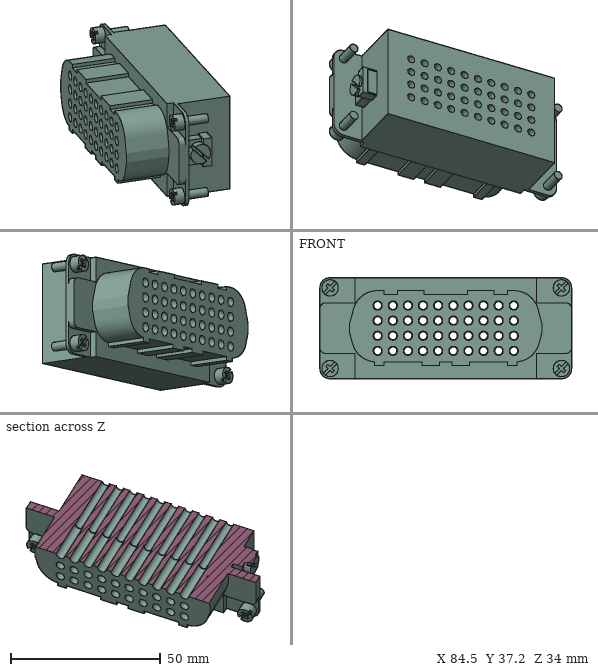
import cadquery as cq


flange_length = 84.5
height = 34.0
flange_back = 3.5
flange_corner_radius = 3.5
housing_length = 63.4
housing_back = 22.0

recess_depth = 2.3
recess_inner_x = 30.4
center_strip_height = 17.0
strip_corner_radius = 2.0

plug_depth = 15.2
plug_half_length = 32.2
end_flat_half_height = 1.7
end_slope = 0.27
plug_top = 12.6
plug_bottom = -11.3
plug_corner_radius = 8.3
key_height = 1.3
key_edge_x = 20.7
outer_groove_inner_x = 16.1
center_groove_half_width = 7.3
outer_rib_outer_x = 23.8
inner_rib_inner_x = 2.1
inner_rib_outer_x = 8.0

contact_pitch = 5.1
contact_columns = 10
contact_rows = 4
contact_mouth_diameter = 3.0
contact_bore_diameter = 2.6

screw_x = flange_length / 2 - flange_corner_radius
screw_z = height / 2 - flange_corner_radius
screw_head_diameter = 5.5
screw_head_front = 1.3
shank_diameter = 3.0
shank_end = 11.15
slot_angle = 45.0
slot_width = 0.9
slot_depth = 1.0
cross_arm_length = 3.0

terminal_y = 9.5
terminal_block_size = 9.1
terminal_block_thickness = 3.3
clamp_bar_width = 3.1
clamp_bar_back = 13.8
clamp_bar_thickness = 5.1
clamp_bar_overhang = 0.5
terminal_screw_diameter = 7.0
terminal_screw_reach = 5.8
terminal_slot_depth = 1.7
terminal_slot_width = 1.0


def box_between(x0, x1, y0, y1, z0, z1):
    """Box given by its limits along each axis."""
    return cq.Workplane("XY").box(x1 - x0, y1 - y0, z1 - z0, centered=False).translate((x0, y0, z0))


def cylinder_along_y(diameter, y0, y1, points):
    """Round bars along Y, one at each (x, z) point."""
    bars = cq.Workplane("XZ", origin=(0, y0, 0)).pushPoints(points)
    return bars.circle(diameter / 2).extrude(-(y1 - y0))


def make_flange():
    half_z = height / 2
    back_plate = (
        box_between(-flange_length / 2, flange_length / 2, recess_depth, flange_back, -half_z, half_z)
        .edges("|Y")
        .fillet(flange_corner_radius)
    )
    half_strip = center_strip_height / 2
    center_strip = (
        box_between(-flange_length / 2, flange_length / 2, 0, recess_depth, -half_strip, half_strip)
        .edges("|Y")
        .fillet(strip_corner_radius)
    )
    middle = box_between(-recess_inner_x, recess_inner_x, 0, recess_depth, -half_z, half_z)
    return back_plate.union(center_strip).union(middle)


def make_housing():
    half_x = housing_length / 2
    return box_between(-half_x, half_x, recess_depth, housing_back, -height / 2, height / 2)


def make_plug():
    top_x = plug_half_length - end_slope * (plug_top - end_flat_half_height)
    bottom_x = plug_half_length - end_slope * (-plug_bottom - end_flat_half_height)
    right_side = [
        (bottom_x, plug_bottom),
        (plug_half_length, -end_flat_half_height),
        (plug_half_length, end_flat_half_height),
        (top_x, plug_top),
    ]
    left_side = [(-x, z) for x, z in reversed(right_side)]
    plug = cq.Workplane("XZ").polyline(right_side + left_side).close().extrude(plug_depth)
    for side in (">Z", "<Z"):
        plug = plug.faces(side).edges("|Y").fillet(plug_corner_radius)

    groove_floor = plug_top - key_height
    grooves = [
        (-key_edge_x, -outer_groove_inner_x),
        (-center_groove_half_width, center_groove_half_width),
        (outer_groove_inner_x, key_edge_x),
    ]
    for x0, x1 in grooves:
        plug = plug.cut(box_between(x0, x1, -plug_depth, 0, groove_floor, plug_top))

    ribs = [(inner_rib_inner_x, inner_rib_outer_x), (key_edge_x, outer_rib_outer_x)]
    for x0, x1 in ribs:
        rib = box_between(x0, x1, -plug_depth, 0, plug_bottom - key_height, plug_bottom + key_height)
        plug = plug.union(rib).union(rib.mirror("YZ"))
    return plug


def cut_contact_holes(body):
    first_x = -contact_pitch * (contact_columns - 1) / 2
    first_z = -contact_pitch * (contact_rows - 1) / 2
    points = [
        (first_x + contact_pitch * column, first_z + contact_pitch * row)
        for column in range(contact_columns)
        for row in range(contact_rows)
    ]
    mouths = cylinder_along_y(contact_mouth_diameter, -plug_depth, 0, points)
    bores = cylinder_along_y(contact_bore_diameter, -plug_depth, housing_back, points)
    return body.cut(mouths).cut(bores)


def make_screw():
    """Screw on the Y axis: head in front, one diagonal slot with a shorter cross arm."""
    center = [(0, 0)]
    head = cylinder_along_y(screw_head_diameter, -screw_head_front, recess_depth, center)
    shank = cylinder_along_y(shank_diameter, recess_depth, shank_end, center)
    screw = head.union(shank)
    for length, angle in [(2 * screw_head_diameter, -slot_angle), (cross_arm_length, slot_angle)]:
        slot = box_between(
            -length / 2, length / 2,
            -screw_head_front, slot_depth - screw_head_front,
            -slot_width / 2, slot_width / 2,
        )
        screw = screw.cut(slot.rotate((0, 0, 0), (0, 1, 0), angle))
    return screw


def make_earth_terminal():
    face_x = housing_length / 2
    half_block = terminal_block_size / 2
    block = box_between(
        face_x, face_x + terminal_block_thickness,
        terminal_y - half_block, terminal_y + half_block,
        -half_block, half_block,
    )
    half_bar = half_block + clamp_bar_overhang
    clamp_bar = box_between(
        face_x, face_x + clamp_bar_thickness,
        clamp_bar_back - clamp_bar_width, clamp_bar_back,
        -half_bar, half_bar,
    )
    screw_end_x = face_x + terminal_screw_reach
    screw = (
        cq.Workplane("YZ", origin=(face_x, terminal_y, 0))
        .circle(terminal_screw_diameter / 2)
        .extrude(terminal_screw_reach)
    )
    slot = (
        cq.Workplane("YZ", origin=(screw_end_x, terminal_y, 0))
        .transformed(rotate=(0, 0, -slot_angle))
        .rect(2 * terminal_screw_diameter, terminal_slot_width)
        .extrude(-terminal_slot_depth)
    )
    return block.union(clamp_bar).union(screw.cut(slot))


result = make_flange().union(make_housing()).union(make_plug())
result = cut_contact_holes(result)
for side_x in (-1, 1):
    for side_z in (-1, 1):
        result = result.union(make_screw().translate((side_x * screw_x, 0, side_z * screw_z)))
result = result.union(make_earth_terminal())